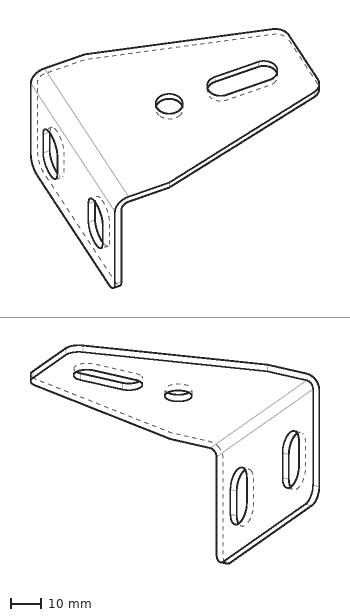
import cadquery as cq

width = 65.0
depth = 85.0
height = 45.0
thickness = 2.5

outer_bend_radius = 5.0
inner_bend_radius = outer_bend_radius - thickness
corner_radius = 5.0

taper_start_y = 20.0
tip_width = 30.0
hole_diameter = 9.0
round_hole_y = 35.5
long_slot_length = 25.0
long_slot_y = 62.5

mount_slot_width = 11.0
mount_slot_length = 20.0
mount_slot_spacing = 35.0
mount_slot_drop = 25.0


def bent_sheet():
    """L-shaped sheet with its top face at Z = 0 and its outer front face at Y = 0."""
    profile = (
        cq.Workplane("YZ")
        .polyline([(0, 0), (depth, 0), (depth, -thickness), (thickness, -thickness),
                   (thickness, -height), (0, -height)])
        .close()
        .extrude(width / 2, both=True)
    )
    outer_edge = cq.selectors.NearestToPointSelector((0, 0, 0))
    inner_edge = cq.selectors.NearestToPointSelector((0, thickness, -thickness))
    profile = profile.edges("|X").edges(inner_edge).fillet(inner_bend_radius)
    return profile.edges("|X").edges(outer_edge).fillet(outer_bend_radius)


def tapered_outline():
    """Full-height prism of the plan shape, with rounded corners at the tip."""
    return (
        cq.Workplane("XY")
        .polyline([(-width / 2, 0), (width / 2, 0), (width / 2, taper_start_y),
                   (tip_width / 2, depth), (-tip_width / 2, depth), (-width / 2, taper_start_y)])
        .close()
        .extrude(-height)
        .edges("|Z and >Y")
        .fillet(corner_radius)
    )


def horizontal_leg_cutouts():
    """Round hole and long slot on the centre line."""
    round_hole = (
        cq.Workplane("XY").center(0, round_hole_y).circle(hole_diameter / 2).extrude(-thickness)
    )
    long_slot = (
        cq.Workplane("XY")
        .center(0, long_slot_y)
        .slot2D(long_slot_length, hole_diameter, 90)
        .extrude(-thickness)
    )
    return round_hole.union(long_slot)


def vertical_leg_slots():
    """Pair of upright mounting slots."""
    half_spacing = mount_slot_spacing / 2
    return (
        cq.Workplane("XZ")
        .pushPoints([(side * half_spacing, -mount_slot_drop) for side in (-1, 1)])
        .slot2D(mount_slot_length, mount_slot_width, 90)
        .extrude(-thickness)
    )


bracket = bent_sheet().intersect(tapered_outline())
bracket = bracket.faces("<Z").edges("|Y").fillet(corner_radius)
result = bracket.cut(horizontal_leg_cutouts()).cut(vertical_leg_slots())